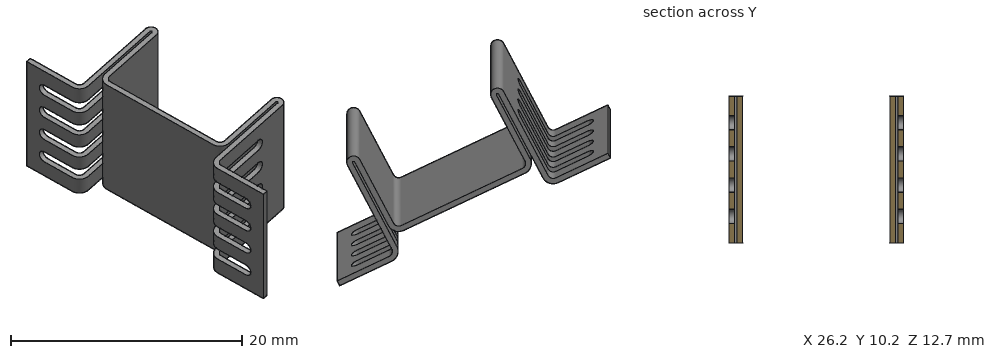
import cadquery as cq

overall_width = 26.16
overall_depth = 10.16
overall_height = 12.7

sheet = 0.5
bend_inner_radius = 0.5
bend_outer_radius = bend_inner_radius + sheet
fold_gap = 0.2
fold_inner_radius = fold_gap / 2
fold_outer_radius = fold_inner_radius + sheet

channel_width = 12.7
channel_depth = 8.1
web_offset = overall_depth - channel_depth

slot_count = 4
slot_width = 1.2
slot_pitch = 2.7
slot_edge_margin = 1.4
slot_reach = 6.8

half_width = overall_width / 2
inner_leg_near = channel_width / 2
inner_leg_far = inner_leg_near + sheet
outer_leg_near = inner_leg_far + fold_gap
outer_leg_far = outer_leg_near + sheet
fold_center_x = (inner_leg_far + outer_leg_near) / 2
fold_center_y = overall_depth - fold_outer_radius


def half_profile():
    """Closed outline of the +X half of the bent strip, from the middle plane to the flange edge."""
    outer_bend_x = outer_leg_near + bend_outer_radius
    web_bend_x = inner_leg_far - bend_outer_radius
    web_bend_y = web_offset + bend_outer_radius
    return (
        cq.Workplane("XY", origin=(0, 0, -overall_height / 2))
        .moveTo(0, web_offset)
        .lineTo(web_bend_x, web_offset)
        .radiusArc((inner_leg_far, web_bend_y), -bend_outer_radius)
        .lineTo(inner_leg_far, fold_center_y)
        .threePointArc(
            (fold_center_x, fold_center_y + fold_inner_radius),
            (outer_leg_near, fold_center_y),
        )
        .lineTo(outer_leg_near, bend_outer_radius)
        .radiusArc((outer_bend_x, 0), -bend_outer_radius)
        .lineTo(half_width, 0)
        .lineTo(half_width, sheet)
        .lineTo(outer_bend_x, sheet)
        .radiusArc((outer_leg_far, bend_outer_radius), bend_inner_radius)
        .lineTo(outer_leg_far, fold_center_y)
        .threePointArc((fold_center_x, overall_depth), (inner_leg_near, fold_center_y))
        .lineTo(inner_leg_near, web_bend_y)
        .radiusArc((web_bend_x, web_offset + sheet), bend_inner_radius)
        .lineTo(0, web_offset + sheet)
        .close()
    )


def slot_cutter(z):
    """Tool for one slot: a round-ended cut in the flange joined to one in the outer leg."""
    end_radius = slot_width / 2

    flange_end_x = half_width - slot_edge_margin - end_radius
    flange_length = flange_end_x - fold_center_x
    flange_cut = (
        cq.Workplane("XY")
        .box(flange_length, bend_outer_radius, slot_width, centered=(False, False, True))
        .translate((fold_center_x, 0, z))
    )
    flange_end = (
        cq.Workplane("XZ", origin=(flange_end_x, 0, z))
        .circle(end_radius)
        .extrude(-bend_outer_radius)
    )

    leg_end_y = slot_reach - end_radius
    leg_depth = outer_leg_near + bend_outer_radius - fold_center_x
    leg_cut = (
        cq.Workplane("XY")
        .box(leg_depth, leg_end_y, slot_width, centered=(False, False, True))
        .translate((fold_center_x, 0, z))
    )
    leg_end = (
        cq.Workplane("YZ", origin=(fold_center_x, leg_end_y, z))
        .circle(end_radius)
        .extrude(leg_depth)
    )
    return flange_cut.union(flange_end).union(leg_cut).union(leg_end)


def slotted_half():
    """The +X half of the part with its column of slots, centred on Z = 0."""
    half = half_profile().extrude(overall_height)
    lowest_slot_z = -slot_pitch * (slot_count - 1) / 2
    for index in range(slot_count):
        half = half.cut(slot_cutter(lowest_slot_z + index * slot_pitch))
    return half


right_half = slotted_half()
result = right_half.union(right_half.mirror("YZ")).clean()